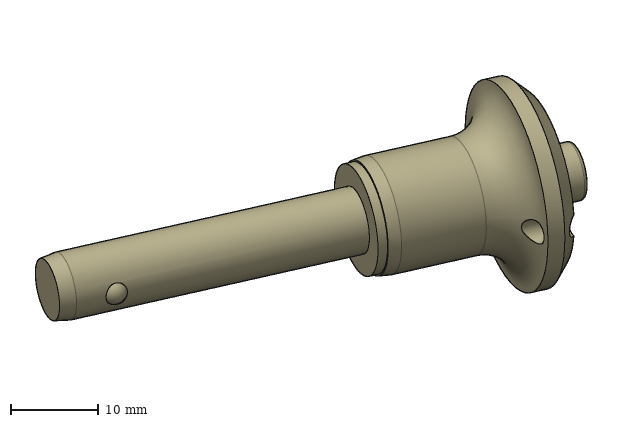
import cadquery as cq

total_length = 65.5

rim_radius = 12.5
rim_top_radius = 10.55
body_radius = 7.0
collar_top_radius = 6.8
collar_radius = 6.6
shank_radius = 4.0
tip_radius = 3.7
button_radius = 3.5

button_height = 4.65
button_edge = 0.45
rim_bevel_height = 1.95
rim_height = 2.1
flare_length = 5.4
body_length = 10.5
body_taper_length = 1.6
collar_length = 1.2
tip_length = 1.95

ball_radius = 1.5
ball_reach = 4.8
ball_from_tip = 6.95
hole_radius = 1.5
hole_offset = 10.0

rim_top = total_length - button_height
rim_bevel_end = rim_top - rim_bevel_height
rim_bottom = rim_bevel_end - rim_height
flare_end = rim_bottom - flare_length
body_end = flare_end - body_length
taper_end = body_end - body_taper_length
collar_end = taper_end - collar_length


def make_turned_body():
    """Revolve the pin, handle and button as one half profile about Y."""
    profile = (
        cq.Workplane("XY")
        .lineTo(tip_radius, 0)
        .lineTo(shank_radius, tip_length)
        .lineTo(shank_radius, collar_end)
        .lineTo(collar_radius, collar_end)
        .lineTo(collar_radius, taper_end)
        .lineTo(collar_top_radius, taper_end)
        .lineTo(body_radius, body_end)
        .lineTo(body_radius, flare_end)
        .tangentArcPoint((rim_radius, rim_bottom), relative=False)
        .lineTo(rim_radius, rim_bevel_end)
        .lineTo(rim_top_radius, rim_top)
        .lineTo(button_radius, rim_top)
        .lineTo(button_radius, total_length)
        .lineTo(0, total_length)
        .close()
    )
    body = profile.revolve(360, (0, 0, 0), (0, 1, 0))
    return body.faces(">Y").edges().fillet(button_edge)


def make_ball(side):
    """Locking ball protruding from the shank on the given X side."""
    center_x = side * (ball_reach - ball_radius)
    return cq.Workplane("XY").sphere(ball_radius).translate((center_x, ball_from_tip, 0))


def make_lanyard_hole():
    """Cutter passing through the whole flange, parallel to the axis."""
    return (
        cq.Workplane("XZ", origin=(hole_offset, rim_top, 0))
        .circle(hole_radius)
        .extrude(rim_top - flare_end)
    )


result = make_turned_body()
for side in (-1, 1):
    result = result.union(make_ball(side))
result = result.cut(make_lanyard_hole())